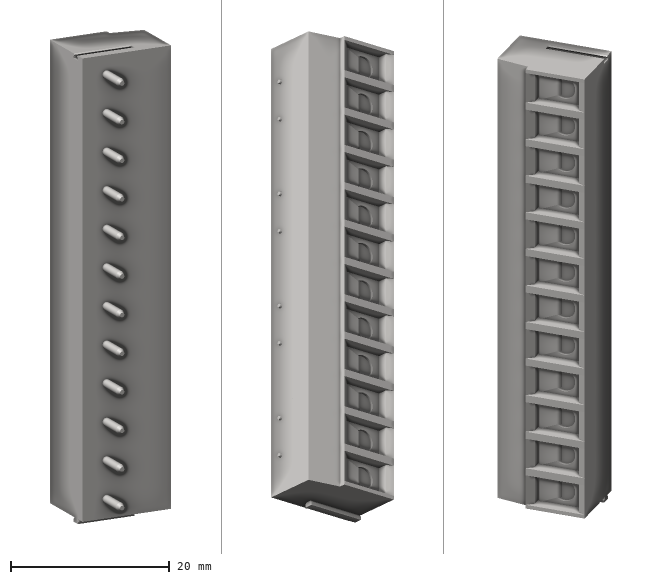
import cadquery as cq
import math

pole_count = 12
pitch = 5.08
total_length = 13.5
body_depth = 9.1
body_width = 12.5
total_height = 61.65
tongue_height = 0.65
body_height = total_height - tongue_height
first_pole_z = (body_height - (pole_count - 1) * pitch) / 2

shelf_y = 8.0
shelf_depth = 0.85
lean_top_x = 1.6

pocket_height = 4.1
pocket_back_x = 1.8
pocket_low_y = 0.93
pocket_high_y = 7.07
low_slope_depth = 0.42
high_slope_depth = 0.76

guard_front_x = 1.65
guard_edge_radius = 0.52
guard_tip_flat_y = 4.46
guard_tip_height = 2.3
clamp_floor_x = guard_front_x + guard_edge_radius
guard_base_flat_y = pocket_high_y - guard_edge_radius
clamp_y = 3.5
clamp_radius = 1.5

pin_y = 3.37
pin_diameter = 1.1
pin_root_x = body_depth / 2
pin_chamfer_length = 0.6
pin_chamfer_width = 0.25

joint_x = 7.2
joint_length = shelf_y
tongue_neck_half = 0.4
tongue_wide_half = 0.65
tongue_tip_half = 0.58
tongue_wide_drop = 0.32
groove_mouth_half = 0.53
groove_neck_half = 0.33
groove_neck_drop = 0.12
groove_wide_drop = 0.4
groove_floor_half = 0.62
groove_depth = 0.62

nub_radius = 0.3
nub_height = 0.3
nub_taper = 12
nub_group = 3


def pole_z(index):
    return first_pole_z + index * pitch


def extrude_along_z(points, z_low, height):
    return cq.Workplane("XY").workplane(offset=z_low).polyline(points).close().extrude(height)


def extrude_along_y(points, length):
    return cq.Workplane("XZ").polyline(points).close().extrude(-length)


def make_housing():
    outline = [
        (0, 0),
        (body_depth, 0),
        (body_depth, body_width),
        (lean_top_x, body_width),
        (shelf_depth, shelf_y),
        (0, shelf_y),
    ]
    return extrude_along_z(outline, 0, body_height)


def make_pocket(z):
    """Flared wire entry, open to the front."""
    outline = [
        (0, 0),
        (low_slope_depth, pocket_low_y),
        (pocket_back_x, pocket_low_y),
        (pocket_back_x, pocket_high_y),
        (high_slope_depth, pocket_high_y),
        (0, shelf_y),
    ]
    return extrude_along_z(outline, z - pocket_height / 2, pocket_height)


def make_clamp_recess(z):
    """Round clamp opening plus the slot behind the upper edge of the guard."""
    depth = clamp_floor_x - guard_front_x
    opening = (
        cq.Workplane("YZ")
        .workplane(offset=guard_front_x)
        .center(clamp_y, z)
        .circle(clamp_radius)
        .extrude(depth)
    )
    slot = cq.Workplane("XY").box(depth, guard_edge_radius, pocket_height, centered=(False, False, True))
    return opening.union(slot.translate((guard_front_x, guard_base_flat_y, z)))


def make_guard(z):
    """Tapered plate with rounded upper edge and rounded tip."""
    tip_y = guard_tip_flat_y - guard_edge_radius
    arc_offset = guard_edge_radius * (1 - math.sqrt(0.5))
    profile = (
        cq.Workplane("XY")
        .workplane(offset=z - pocket_height / 2)
        .moveTo(clamp_floor_x, tip_y)
        .threePointArc((guard_front_x + arc_offset, tip_y + arc_offset), (guard_front_x, guard_tip_flat_y))
        .lineTo(guard_front_x, guard_base_flat_y)
        .threePointArc(
            (guard_front_x + arc_offset, pocket_high_y - arc_offset),
            (clamp_floor_x, pocket_high_y),
        )
        .close()
        .extrude(pocket_height)
    )
    half_base = pocket_height / 2
    half_tip = guard_tip_height / 2
    taper = [
        (tip_y, z - half_tip),
        (guard_tip_flat_y, z - half_tip),
        (guard_base_flat_y, z - half_base),
        (pocket_high_y, z - half_base),
        (pocket_high_y, z + half_base),
        (guard_base_flat_y, z + half_base),
        (guard_tip_flat_y, z + half_tip),
        (tip_y, z + half_tip),
    ]
    blank = (
        cq.Workplane("YZ")
        .workplane(offset=guard_front_x)
        .polyline(taper)
        .close()
        .extrude(clamp_floor_x - guard_front_x)
    )
    return profile.intersect(blank)


def make_pin(z):
    """Round pin with a conical lead-in, turned about its own axis."""
    radius = pin_diameter / 2
    half_section = [
        (pin_root_x, pin_y),
        (total_length, pin_y),
        (total_length, pin_y - radius + pin_chamfer_width),
        (total_length - pin_chamfer_length, pin_y - radius),
        (pin_root_x, pin_y - radius),
    ]
    return (
        cq.Workplane("XY")
        .workplane(offset=z)
        .polyline(half_section)
        .close()
        .revolve(360, (0, pin_y, 0), (1, pin_y, 0))
    )


def make_tongue():
    outline = [
        (joint_x - tongue_neck_half, 0),
        (joint_x - tongue_wide_half, -tongue_wide_drop),
        (joint_x - tongue_tip_half, -tongue_height),
        (joint_x + tongue_tip_half, -tongue_height),
        (joint_x + tongue_wide_half, -tongue_wide_drop),
        (joint_x + tongue_neck_half, 0),
    ]
    return extrude_along_y(outline, joint_length)


def make_groove():
    floor_z = body_height - groove_depth
    outline = [
        (joint_x - groove_mouth_half, body_height),
        (joint_x - groove_neck_half, body_height - groove_neck_drop),
        (joint_x - groove_floor_half, body_height - groove_wide_drop),
        (joint_x - groove_floor_half, floor_z),
        (joint_x + groove_floor_half, floor_z),
        (joint_x + groove_floor_half, body_height - groove_wide_drop),
        (joint_x + groove_neck_half, body_height - groove_neck_drop),
        (joint_x + groove_mouth_half, body_height),
    ]
    return extrude_along_y(outline, joint_length)


def make_nub(z):
    """Short tapered peg standing on the +Y face."""
    peg = cq.Workplane("XY").circle(nub_radius).extrude(nub_height, taper=nub_taper)
    return peg.rotate((0, 0, 0), (1, 0, 0), -90).translate((joint_x, body_width, z))


result = make_housing().union(make_tongue()).cut(make_groove())
for pole in range(pole_count):
    z = pole_z(pole)
    result = result.cut(make_pocket(z)).cut(make_clamp_recess(z))
    result = result.union(make_guard(z)).union(make_pin(z))
for boundary in range(1, pole_count):
    if boundary % nub_group:
        result = result.union(make_nub(pole_z(boundary) - pitch / 2))